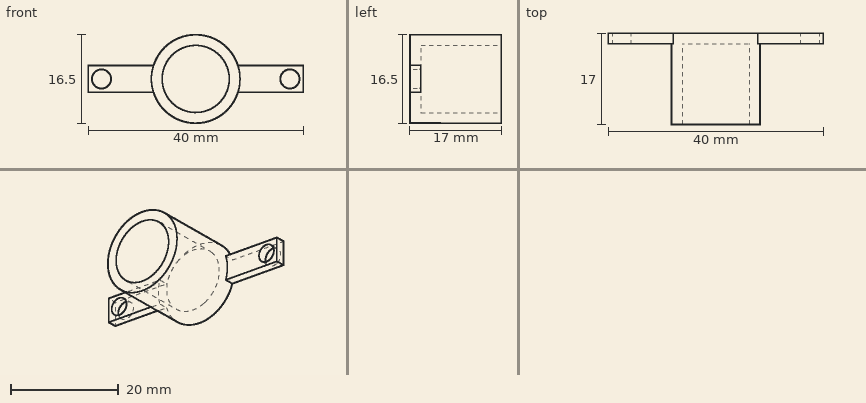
import cadquery as cq

span = 40.0
cup_length = 17.0
cup_diameter = 16.5
bore_diameter = 12.5
plate_thickness = 2.0
tab_height = 5.0
tab_hole_diameter = 3.5

hole_offset = span / 2 - tab_height / 2
bore_depth = cup_length - plate_thickness


def cylinder_along_y(diameter, length):
    """Cylinder on the Y axis, running from the back face (y = 0) toward -Y."""
    return cq.Workplane("XZ").circle(diameter / 2).extrude(length)


bar = cq.Workplane("XZ").rect(span, tab_height).extrude(plate_thickness)
tab_holes = (
    cq.Workplane("XZ")
    .pushPoints([(-hole_offset, 0), (hole_offset, 0)])
    .circle(tab_hole_diameter / 2)
    .extrude(plate_thickness)
)

bore = cylinder_along_y(bore_diameter, bore_depth).translate((0, -plate_thickness, 0))

cup = cylinder_along_y(cup_diameter, cup_length)
result = cup.union(bar).cut(bore).cut(tab_holes)